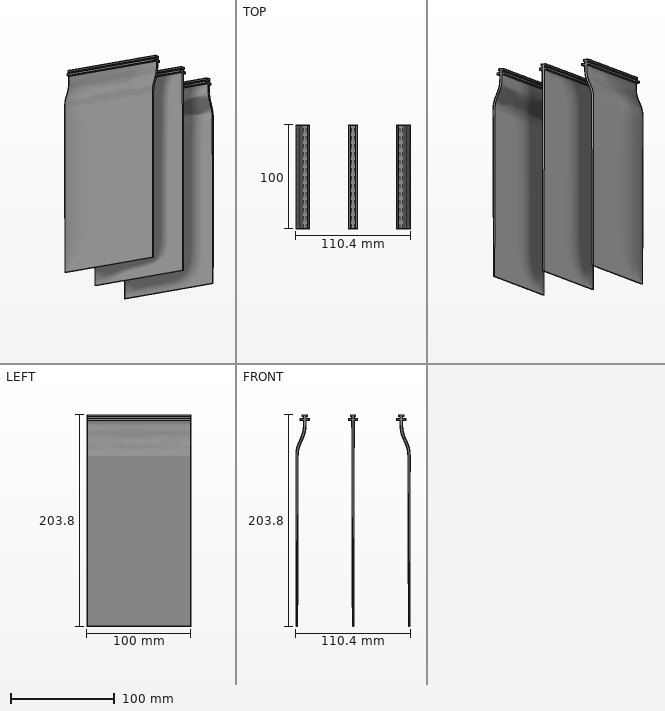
import cadquery as cq

panel_length = 100.0
total_height = 203.8
overall_width = 110.37

head_width = 5.2
head_height = 1.8
neck_width = 2.5
neck_height = 2.0
flange_width = 9.0
flange_height = 1.8

blade_top_thickness = neck_width
blade_bottom_thickness = 1.4
bottom_edge_radius = 0.5

side_rail_x = 46.5
bend_top_drop = 4.2
bend_height = 30.0
bend_handle = 0.5

flange_top = flange_height
head_bottom = flange_top + neck_height
panel_top = head_bottom + head_height
panel_bottom = panel_top - total_height
bend_top = -bend_top_drop
bend_bottom = bend_top - bend_height


def half_thickness(z):
    """Half of the blade thickness at level z."""
    fraction = z / panel_bottom
    return (blade_top_thickness + fraction * (blade_bottom_thickness - blade_top_thickness)) / 2


side_offset = overall_width / 2 - half_thickness(bend_bottom) - side_rail_x


def block(width, bottom, height):
    """Full-length bar centred on x = 0, standing on the given level."""
    return (
        cq.Workplane("XY")
        .workplane(offset=bottom)
        .rect(width, panel_length)
        .extrude(height)
    )


def hanging_rail():
    """T-shaped head on its neck, with the flange beneath."""
    flange = block(flange_width, 0, flange_height)
    neck = block(neck_width, flange_top, neck_height)
    head = block(head_width, head_bottom, head_height)
    return flange.union(neck).union(head)


def blade_prism(outline):
    """Extrude a closed XZ outline over the panel length, centred in Y, and round its bottom edges."""
    prism = outline.close().extrude(panel_length).translate((0, panel_length / 2, 0))
    return prism.faces("<Z").edges("|Y").fillet(bottom_edge_radius)


def centre_blade_panel():
    """Straight tapered blade under its rail."""
    top = half_thickness(0)
    bottom = half_thickness(panel_bottom)
    outline = (
        cq.Workplane("XZ")
        .moveTo(-top, 0)
        .lineTo(top, 0)
        .lineTo(bottom, panel_bottom)
        .lineTo(-bottom, panel_bottom)
    )
    return hanging_rail().union(blade_prism(outline))


def bend_curve(x_top, x_bottom):
    """Control points of an S-curve that is vertical at both ends of the bend, from the top down."""
    handle = bend_handle * bend_height
    return [
        (x_top, bend_top),
        (x_top, bend_top - handle),
        (x_bottom, bend_bottom + handle),
        (x_bottom, bend_bottom),
    ]


def side_panel():
    """Tapered blade that bends towards +X under its rail."""
    top = half_thickness(0)
    bend_start = half_thickness(bend_top)
    bend_end = half_thickness(bend_bottom)
    bottom = half_thickness(panel_bottom)
    outer_bend = bend_curve(bend_start, side_offset + bend_end)
    inner_bend = bend_curve(-bend_start, side_offset - bend_end)
    outline = (
        cq.Workplane("XZ")
        .moveTo(-top, 0)
        .lineTo(top, 0)
        .lineTo(bend_start, bend_top)
        .bezier(outer_bend)
        .lineTo(side_offset + bottom, panel_bottom)
        .lineTo(side_offset - bottom, panel_bottom)
        .lineTo(side_offset - bend_end, bend_bottom)
        .bezier(inner_bend[::-1])
    )
    return hanging_rail().union(blade_prism(outline)).translate((side_rail_x, 0, 0))


right_panel = side_panel()
left_panel = right_panel.mirror("YZ")
centre_panel = centre_blade_panel()

result = cq.Compound.makeCompound([left_panel.val(), centre_panel.val(), right_panel.val()])